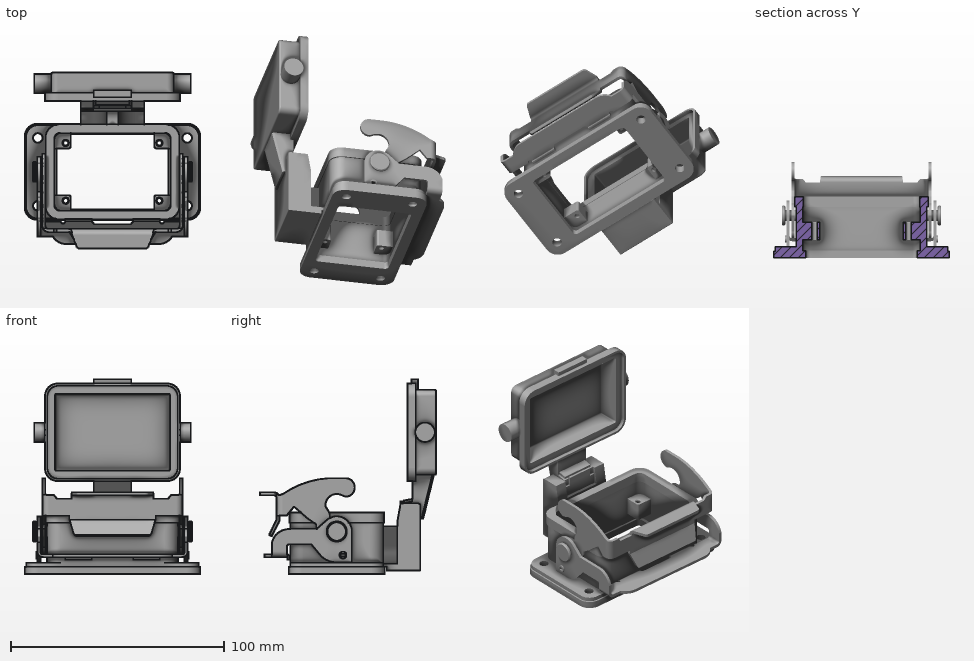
import cadquery as cq
import math


DIAGONAL = math.sqrt(0.5)
SPAN = 183.0

PIVOT_Y = 0.0
PIVOT_Z = 19.95
PIVOT_R = 2.65
PIVOT_TIP_R = 1.6

FLANGE_HALF_X = 41.3
FLANGE_HALF_Y = 22.6
FLANGE_R = 6.1
FLANGE_STEP = 0.7
FLANGE_STEP_Z = 3.4
FLANGE_TOP = 5.3
BODY_HALF_X = 30.7
BODY_HALF_Y = FLANGE_HALF_Y - FLANGE_STEP
RIM_HALF_X = 31.4
RIM_HALF_Y = 22.2
RIM_R = 6.1
RIM_BOTTOM = 24.1
RIM_TOP = 28.9
WELL_HALF_X = 27.3
WELL_HALF_Y = 18.2
WELL_R = 3.0
UNDERCUT = 0.3
WELL_FLOOR = 3.6
OPENING_HALF_X = 26.1
OPENING_HALF_Y = 17.6
OPENING_R = 1.8
POST_HALF_GAP_X = 19.6
POST_HALF_GAP_Y = 10.9
POST_BOTTOM = 8.5
POST_TOP = 16.9
POST_R = 1.1
SCREW_X = 22.0
SCREW_Y = 13.5
SCREW_R = 1.2
SCREW_SINK_R = 1.6
SCREW_SINK_ANGLE = 90
MOUNT_X = 35.0
MOUNT_Y = 15.9
MOUNT_R = 2.2

BRACKET_HALF_X = 14.9
BRACKET_BACK = 39.25
BRACKET_FRONT = 28.5
BRACKET_TOP = 33.1
BRACKET_TOP_FRONT = 29.9
BRACKET_BOTTOM = 1.6
BRACKET_R = 1.0
BRACKET_BOTTOM_R = 0.5
FOOT_TOP = 4.9
FOOT_STEP_Y = 23.4
SLOT_HALF_X = 9.15
SLOT_FLOOR = 24.8
RIB_TOP = 22.5
RIB_HALF_X = 2.7
RIB_FLARE_R = 7.9

COVER_Z = 66.5
COVER_FRONT = 33.2
COVER_STEP = 37.1
COVER_BACK = 46.7
COVER_RIM_HALF_X = 31.75
COVER_RIM_HALF_Z = 23.0
COVER_RIM_R = 6.1
COVER_HALF_X = 28.7
COVER_HALF_Z = 20.0
COVER_R = 3.0
COVER_BACK_FILLET = 0.8
LIP = 1.2
LIP_DEPTH = 1.7
CAVITY_HALF_X = 27.0
CAVITY_HALF_Z = 18.1
CAVITY_R = 0.8
CAVITY_DRAFT = 0.5
CAVITY_FLOOR = 44.7
CAVITY_FLOOR_FILLET = 0.7
PEG_R = 4.6
PEG_HALF_X = 36.8
PEG_Y = 41.45
ARM_HALF_X = 8.9
TAB_FRONT = 35.0
TAB_BACK = 38.25
TAB_TOP = 91.5
ARM_FRONT = 35.5
ARM_TAIL_Y = 40.6
ARM_TAIL_Z = 26.0
ARM_CHAMFER = 0.8
SHOULDER_BACK_Z = 34.1
SHOULDER_FRONT = 30.9
SHOULDER_FRONT_Z = 33.2
NOSE_HALF_X = 8.0
NOSE_FRONT = 31.6
NOSE_SLOPE = (SHOULDER_BACK_Z - SHOULDER_FRONT_Z) / (ARM_FRONT - SHOULDER_FRONT)
NOSE_HEIGHT = 1.2
PANEL_TOP = 34.0
PANEL_NOTCH_HALF_X = 6.2
PANEL_NOTCH_Z = 29.9

HOOK_SHEET = 1.5
HOOK_HALF_X = 32.9
HOOK_FRONT = -28.3
HOOK_BEND_R = 3.0
HOOK_BOTTOM = 27.45
HOOK_TOP = 37.15
NOTCH_Z = 35.4
NOTCH_HALF_X = 27.5
NOTCH_BOTTOM_HALF_X = 26.1
TONGUE_HALF_X = 19.4
TONGUE_TIP = -36.05
TONGUE_TOP = 38.4
TONGUE_BEND_Y = -29.65
APRON_HALF_X = 20.2
APRON_BEND_Z = 25.5
APRON_TIP_Z = 17.75
THROAT_Z = 32.3
THROAT_R = 5.2

HANDLE_SHEET = 1.5
HANDLE_HALF_X = 35.2
HANDLE_BEND_R = 2.65
HANDLE_BOTTOM = 7.9
HANDLE_BACK = -23.2
HANDLE_FRONT = -30.4
HANDLE_TIP = -33.95
GRIP_TIP_HALF_X = 22.0
GRIP_ROOT_HALF_X = 28.0
HANDLE_ARM_BOTTOM = 13.9
HANDLE_ARM_TOP = 21.1
HANDLE_CORNER = 0.6
HANDLE_NECK_Y = -4.9
HANDLE_EAR_R = 7.1
HANDLE_EAR_BOTTOM = 5.6
RELIEF_R = 1.0
RELIEF_X = 23.2
WINDOW_HALF_X = 9.7
WINDOW_DEPTH = 1.3
WINDOW_CHAMFER = 1.1
LUG_OUTER_X = 22.2
LUG_Y = -22.05
LUG_BOTTOM = 6.6
RIVET_HEAD_R = 4.8
RIVET_HEAD_INNER = 35.8
RIVET_HEAD_OUTER = 37.4
RIVET_CHAMFER = 0.5
STUD_Y = 2.9
STUD_Z = 8.9
STUD_R = 1.65
STUD_HEIGHT = 0.6
STUD_SLOT_Y = 2.0
STUD_SLOT_Z = 1.5


def box(x0, x1, y0, y1, z0, z1):
    """Block between two opposite corners."""
    return cq.Workplane("XY").box(x1 - x0, y1 - y0, z1 - z0, centered=False).translate((x0, y0, z0))


def rounded_block(half_x, half_y, radius, z0, z1):
    """Upright block with rounded corners, centred on the Z axis."""
    block = cq.Workplane("XY").box(2 * half_x, 2 * half_y, z1 - z0, centered=(True, True, False))
    return block.edges("|Z").fillet(radius).translate((0, 0, z0))


def across_x(profile, half_x):
    """Extrude a closed YZ profile equally to both sides of X = 0."""
    return profile.extrude(half_x, both=True)


def x_cylinder(radius, x0, x1, y, z):
    """Cylinder along X, from x0 to x1."""
    return cq.Workplane("YZ", origin=(x0, 0, 0)).center(y, z).circle(radius).extrude(x1 - x0)


def both_sides(shape):
    """The shape together with its mirror image across X = 0."""
    return shape.union(shape.mirror("YZ"))



def housing_shell():
    flange = rounded_block(FLANGE_HALF_X, FLANGE_HALF_Y, FLANGE_R, 0, FLANGE_STEP_Z)
    step = rounded_block(
        FLANGE_HALF_X - FLANGE_STEP, BODY_HALF_Y, FLANGE_R - FLANGE_STEP, FLANGE_STEP_Z, FLANGE_TOP
    )
    body = rounded_block(BODY_HALF_X, BODY_HALF_Y, RIM_R, FLANGE_TOP, RIM_BOTTOM)
    rim = rounded_block(RIM_HALF_X, RIM_HALF_Y, RIM_R, RIM_BOTTOM, RIM_TOP)
    return flange.union(step).union(body).union(rim)


def hinge_bracket():
    cheeks = across_x(
        cq.Workplane("YZ").polyline([
            (BRACKET_BACK, BRACKET_BOTTOM),
            (BRACKET_BACK, BRACKET_TOP),
            (BRACKET_TOP_FRONT, BRACKET_TOP),
            (BRACKET_FRONT, SLOT_FLOOR),
            (BRACKET_FRONT, FOOT_TOP),
            (BODY_HALF_Y, FOOT_TOP),
            (BODY_HALF_Y, FLANGE_STEP_Z),
            (FOOT_STEP_Y, FLANGE_STEP_Z),
            (FOOT_STEP_Y, BRACKET_BOTTOM),
        ]).close(),
        BRACKET_HALF_X,
    )
    cheeks = cheeks.edges("|X and >Y and >Z").fillet(BRACKET_R)
    cheeks = cheeks.edges("|X and >Y and <Z").fillet(BRACKET_BOTTOM_R)
    slot = box(-SLOT_HALF_X, SLOT_HALF_X, BRACKET_FRONT, BRACKET_BACK, SLOT_FLOOR, BRACKET_TOP)
    return cheeks.cut(slot)


def hinge_rib():
    """Rib that joins the bracket to the back wall, with a large round flare at its foot."""
    foot_half_x = RIB_HALF_X + RIB_FLARE_R
    flare_z = FOOT_TOP + RIB_FLARE_R
    mid_offset = RIB_FLARE_R * (1 - DIAGONAL)
    rib = (
        cq.Workplane("XZ", origin=(0, BRACKET_FRONT, 0))
        .moveTo(0, RIB_TOP)
        .lineTo(RIB_HALF_X, RIB_TOP)
        .lineTo(RIB_HALF_X, flare_z)
        .threePointArc((RIB_HALF_X + mid_offset, FOOT_TOP + mid_offset), (foot_half_x, FOOT_TOP))
        .lineTo(0, FOOT_TOP)
        .mirrorY()
    )
    return rib.extrude(BRACKET_FRONT - BODY_HALF_Y)


def well_space(z0, z1, outset):
    """Stretch of the well's inside shape, widened by an outset on every side."""
    return rounded_block(WELL_HALF_X + outset, WELL_HALF_Y + outset, WELL_R + outset, z0, z1)


def corner_posts():
    """Four screw posts in the corners of the well, above its floor."""
    well = well_space(POST_BOTTOM, POST_TOP, UNDERCUT)
    quarter = box(POST_HALF_GAP_X, RIM_HALF_X, POST_HALF_GAP_Y, RIM_HALF_Y, POST_BOTTOM, POST_TOP)
    post = quarter.edges("|Z and <X and <Y").fillet(POST_R).intersect(well)
    post = (
        post.faces(">Z").workplane(origin=(SCREW_X, SCREW_Y, POST_TOP))
        .cskHole(2 * SCREW_R, 2 * SCREW_SINK_R, SCREW_SINK_ANGLE)
    )
    pair = both_sides(post)
    return pair.union(pair.mirror("XZ"))


def make_housing():
    shell = housing_shell().union(hinge_bracket()).union(hinge_rib())
    mouth = well_space(RIM_BOTTOM, RIM_TOP, 0)
    well = well_space(WELL_FLOOR, RIM_BOTTOM, UNDERCUT)
    opening = rounded_block(OPENING_HALF_X, OPENING_HALF_Y, OPENING_R, 0, RIM_TOP)
    mount_holes = (
        cq.Workplane("XY").rect(2 * MOUNT_X, 2 * MOUNT_Y, forConstruction=True).vertices()
        .circle(MOUNT_R).extrude(FLANGE_TOP)
    )
    pivot_holes = x_cylinder(PIVOT_TIP_R, -RIM_HALF_X, RIM_HALF_X, PIVOT_Y, PIVOT_Z)
    shell = shell.cut(mouth).cut(well).cut(opening).cut(mount_holes).cut(pivot_holes)
    return shell.union(corner_posts())



def cover_plate(half_x, half_z, radius, y0, y1):
    """Block facing Y with rounded corners, centred on the cover."""
    block = cq.Workplane("XY").box(2 * half_x, y1 - y0, 2 * half_z, centered=(True, False, True))
    return block.edges("|Y").fillet(radius).translate((0, y0, COVER_Z))


def cover_cavity():
    front = COVER_FRONT + LIP_DEPTH
    depth = CAVITY_FLOOR - front
    draft_angle = math.degrees(math.atan(CAVITY_DRAFT / depth))
    sketch = cq.Sketch().rect(2 * CAVITY_HALF_X, 2 * CAVITY_HALF_Z).vertices().fillet(CAVITY_R)
    cavity = (
        cq.Workplane("XZ", origin=(0, front, COVER_Z))
        .placeSketch(sketch).extrude(-depth, taper=draft_angle)
    )
    return cavity.faces(">Y").edges().fillet(CAVITY_FLOOR_FILLET)


def arm_nose():
    """Sloped lip on the shoulder of the hinge arm."""
    root_z = SHOULDER_BACK_Z
    tip_z = root_z - NOSE_SLOPE * (ARM_FRONT - NOSE_FRONT)
    return across_x(
        cq.Workplane("YZ").polyline([
            (ARM_FRONT, root_z),
            (ARM_FRONT, root_z + NOSE_HEIGHT),
            (NOSE_FRONT, tip_z + NOSE_HEIGHT),
            (NOSE_FRONT, tip_z),
        ]).close(),
        NOSE_HALF_X,
    )


def hinge_arm():
    """Arm below the cover, with a shoulder, a nose and a latch panel that stand in the bracket slot."""
    arm_top = COVER_Z - COVER_HALF_Z + CAVITY_FLOOR_FILLET
    arm = across_x(
        cq.Workplane("YZ").polyline([
            (ARM_FRONT, arm_top),
            (COVER_BACK - COVER_BACK_FILLET, arm_top),
            (ARM_TAIL_Y, ARM_TAIL_Z),
            (BRACKET_BACK, ARM_TAIL_Z),
            (BRACKET_BACK, SLOT_FLOOR),
            (BRACKET_TOP_FRONT, SLOT_FLOOR),
            (BRACKET_TOP_FRONT, PANEL_TOP),
            (SHOULDER_FRONT, PANEL_TOP),
            (SHOULDER_FRONT, SHOULDER_FRONT_Z),
            (ARM_FRONT, SHOULDER_BACK_Z),
        ]).close(),
        ARM_HALF_X,
    )
    arm = arm.faces("<(0,-1,0.3)").edges("not |X").chamfer(ARM_CHAMFER)
    notch = box(
        PANEL_NOTCH_HALF_X, ARM_HALF_X, BRACKET_TOP_FRONT, SHOULDER_FRONT, PANEL_NOTCH_Z, PANEL_TOP
    )
    return arm.cut(both_sides(notch)).union(arm_nose())


def make_cover():
    rim = cover_plate(COVER_RIM_HALF_X, COVER_RIM_HALF_Z, COVER_RIM_R, COVER_FRONT, COVER_STEP)
    shell = cover_plate(COVER_HALF_X, COVER_HALF_Z, COVER_R, COVER_FRONT, COVER_BACK)
    shell = shell.faces(">Y").edges().fillet(COVER_BACK_FILLET)
    pegs = x_cylinder(PEG_R, -PEG_HALF_X, PEG_HALF_X, PEG_Y, COVER_Z)
    tab = box(-ARM_HALF_X, ARM_HALF_X, TAB_FRONT, TAB_BACK, COVER_Z + CAVITY_HALF_Z, TAB_TOP)
    lip_recess = cover_plate(
        COVER_RIM_HALF_X - LIP, COVER_RIM_HALF_Z - LIP, COVER_RIM_R - LIP,
        COVER_FRONT, COVER_FRONT + LIP_DEPTH,
    )
    solid = rim.union(shell).union(pegs).union(tab).union(hinge_arm())
    return solid.cut(lip_recess).cut(cover_cavity())



def hook_outline():
    """Outline of the hook arms and of the front web's height, as a YZ profile."""
    throat_left = (2.4, 37.0)
    throat_mid = (PIVOT_Y - THROAT_R * DIAGONAL, THROAT_Z + THROAT_R * DIAGONAL)
    throat_right = (-5.2, 31.75)
    return (
        cq.Workplane("YZ")
        .moveTo(HOOK_FRONT, HOOK_TOP)
        .lineTo(-26.4, HOOK_TOP)
        .lineTo(-25.0, 37.8)
        .threePointArc((-14.9, 42.8), (-4.0, 45.0))
        .lineTo(4.1, 45.0)
        .threePointArc((8.5, 40.6), (4.1, 36.2))
        .lineTo(*throat_left)
        .threePointArc(throat_mid, throat_right)
        .lineTo(-3.5, 28.9)
        .lineTo(-3.1, 26.35)
        .lineTo(-1.8, 25.4)
        .threePointArc((4.2, 24.0), (6.0, PIVOT_Z))
        .lineTo(3.2, 12.5)
        .threePointArc((0, 9.3), (-3.2, 12.5))
        .lineTo(-9.5, 21.2)
        .lineTo(-9.7, 23.3)
        .lineTo(-13.6, 26.1)
        .lineTo(-20.0, 31.6)
        .lineTo(-23.4, HOOK_BOTTOM)
        .lineTo(HOOK_FRONT, HOOK_BOTTOM)
        .close()
    )


def hook_sheet():
    """Arms and front web, folded from one sheet that is U-shaped from above."""
    outer = box(-HOOK_HALF_X, HOOK_HALF_X, HOOK_FRONT, -HOOK_FRONT, 0, SPAN)
    outer = outer.edges("|Z").fillet(HOOK_BEND_R)
    inner_half_x = HOOK_HALF_X - HOOK_SHEET
    inner_front = HOOK_FRONT + HOOK_SHEET
    inner = box(-inner_half_x, inner_half_x, inner_front, -inner_front, 0, SPAN)
    inner = inner.edges("|Z").fillet(HOOK_BEND_R - HOOK_SHEET)
    notch = (
        cq.Workplane("XZ", origin=(0, inner_front, 0))
        .moveTo(-NOTCH_HALF_X, HOOK_TOP)
        .lineTo(-NOTCH_BOTTOM_HALF_X, NOTCH_Z)
        .lineTo(NOTCH_BOTTOM_HALF_X, NOTCH_Z)
        .lineTo(NOTCH_HALF_X, HOOK_TOP)
        .close().extrude(HOOK_SHEET)
    )
    return outer.cut(inner).intersect(across_x(hook_outline(), SPAN)).cut(notch)


def hook_tongue():
    """Thumb tongue that bends forward from the top of the web."""
    inner_y = HOOK_FRONT + HOOK_SHEET
    outer_r = inner_y - TONGUE_BEND_Y
    inner_r = outer_r - HOOK_SHEET
    bend_z = TONGUE_TOP - outer_r
    profile = (
        cq.Workplane("YZ")
        .moveTo(inner_y, NOTCH_Z - HOOK_SHEET)
        .lineTo(inner_y, bend_z)
        .threePointArc(
            (TONGUE_BEND_Y + outer_r * DIAGONAL, bend_z + outer_r * DIAGONAL),
            (TONGUE_BEND_Y, TONGUE_TOP),
        )
        .lineTo(TONGUE_TIP, TONGUE_TOP)
        .lineTo(TONGUE_TIP, TONGUE_TOP - HOOK_SHEET)
        .lineTo(TONGUE_BEND_Y, TONGUE_TOP - HOOK_SHEET)
        .threePointArc(
            (TONGUE_BEND_Y + inner_r * DIAGONAL, bend_z + inner_r * DIAGONAL),
            (HOOK_FRONT, bend_z),
        )
        .lineTo(HOOK_FRONT, NOTCH_Z - HOOK_SHEET)
        .close()
    )
    plan = (
        cq.Workplane("XY")
        .moveTo(0, TONGUE_TIP)
        .lineTo(15.2, TONGUE_TIP)
        .threePointArc((16.5, -35.6), (17.1, -34.4))
        .lineTo(18.9, TONGUE_BEND_Y)
        .lineTo(TONGUE_HALF_X, inner_y)
        .lineTo(0, inner_y)
        .mirrorY().extrude(SPAN)
    )
    return across_x(profile, SPAN).intersect(plan)


def hook_apron():
    """Flap that slopes down and forward from the bottom of the web."""
    inner_y = HOOK_FRONT + HOOK_SHEET
    profile = cq.Workplane("YZ").polyline([
        (inner_y, HOOK_BOTTOM),
        (inner_y, 24.9),
        (-30.5, APRON_TIP_Z),
        (-31.75, 18.4),
        (HOOK_FRONT, APRON_BEND_Z),
        (HOOK_FRONT, HOOK_BOTTOM),
    ]).close()
    outline = (
        cq.Workplane("XZ")
        .moveTo(0, APRON_TIP_Z)
        .lineTo(16.9, APRON_TIP_Z)
        .threePointArc((17.9, 18.6), (18.5, 19.8))
        .lineTo(APRON_HALF_X, APRON_BEND_Z)
        .lineTo(APRON_HALF_X, HOOK_BOTTOM)
        .lineTo(0, HOOK_BOTTOM)
        .mirrorY().extrude(SPAN)
    )
    return across_x(profile, SPAN).intersect(outline)


def make_hook_lever():
    pivot_holes = x_cylinder(PIVOT_R, -HOOK_HALF_X, HOOK_HALF_X, PIVOT_Y, PIVOT_Z)
    return hook_sheet().union(hook_tongue()).union(hook_apron()).cut(pivot_holes)



def handle_side():
    """Side plate on +X, from the ear round the pivot to the front bend."""
    bend_top = HANDLE_BOTTOM + HANDLE_BEND_R
    neck_z = PIVOT_Z + math.sqrt(HANDLE_EAR_R**2 - (HANDLE_NECK_Y - PIVOT_Y) ** 2)
    outline = (
        cq.Workplane("YZ", origin=(HANDLE_HALF_X - HANDLE_SHEET, 0, 0))
        .moveTo(HANDLE_EAR_R, HANDLE_EAR_BOTTOM)
        .lineTo(HANDLE_EAR_R, PIVOT_Z)
        .threePointArc((PIVOT_Y, PIVOT_Z + HANDLE_EAR_R), (HANDLE_NECK_Y, neck_z))
        .lineTo(-9.4, HANDLE_ARM_TOP)
        .lineTo(-22.9, HANDLE_ARM_TOP)
        .threePointArc((-27.9, 19.0), (HANDLE_FRONT, 15.0))
        .lineTo(HANDLE_FRONT, bend_top)
        .lineTo(HANDLE_BACK, bend_top)
        .lineTo(HANDLE_BACK, HANDLE_ARM_BOTTOM - HANDLE_CORNER)
        .lineTo(HANDLE_BACK + HANDLE_CORNER, HANDLE_ARM_BOTTOM)
        .lineTo(-11.9, HANDLE_ARM_BOTTOM)
        .lineTo(-7.5, 8.6)
        .threePointArc((-4.8, 6.6), (-1.1, HANDLE_EAR_BOTTOM))
        .close()
    )
    return outline.extrude(HANDLE_SHEET)


def handle_shelf():
    """Bottom shelf with its two bends up into the side plates and its front grip."""
    bend_top = HANDLE_BOTTOM + HANDLE_BEND_R
    above = bend_top + HANDLE_BEND_R
    outer = box(-HANDLE_HALF_X, HANDLE_HALF_X, HANDLE_FRONT, HANDLE_BACK, HANDLE_BOTTOM, above)
    outer = outer.edges("|Y and <Z").fillet(HANDLE_BEND_R)
    inner_half_x = HANDLE_HALF_X - HANDLE_SHEET
    shelf_top = HANDLE_BOTTOM + HANDLE_SHEET
    inner = box(-inner_half_x, inner_half_x, HANDLE_FRONT, HANDLE_BACK, shelf_top, above)
    inner = inner.edges("|Y and <Z").fillet(HANDLE_BEND_R - HANDLE_SHEET)
    top_trim = box(-SPAN, SPAN, HANDLE_FRONT, HANDLE_BACK, bend_top, above)
    grip = (
        cq.Workplane("XY", origin=(0, 0, HANDLE_BOTTOM))
        .moveTo(0, HANDLE_TIP)
        .lineTo(GRIP_TIP_HALF_X, HANDLE_TIP)
        .threePointArc((25.8, -32.7), (GRIP_ROOT_HALF_X, HANDLE_FRONT))
        .lineTo(0, HANDLE_FRONT)
        .mirrorY().extrude(HANDLE_SHEET)
    )
    return outer.cut(inner).cut(top_trim).union(grip)


def shelf_cutouts():
    """Round reliefs and the middle window along the back edge of the shelf."""
    reliefs = (
        cq.Workplane("XY").pushPoints([(-RELIEF_X, HANDLE_BACK), (RELIEF_X, HANDLE_BACK)])
        .circle(RELIEF_R).extrude(SPAN)
    )
    window = cq.Workplane("XY").polyline([
        (-WINDOW_HALF_X, HANDLE_BACK),
        (-WINDOW_HALF_X + WINDOW_CHAMFER, HANDLE_BACK - WINDOW_DEPTH),
        (WINDOW_HALF_X - WINDOW_CHAMFER, HANDLE_BACK - WINDOW_DEPTH),
        (WINDOW_HALF_X, HANDLE_BACK),
    ]).close().extrude(SPAN)
    return reliefs.union(window)


def shelf_lug():
    """Lug on +X that slopes down and back from the shelf to the housing."""
    profile = cq.Workplane("YZ", origin=(WINDOW_HALF_X, 0, 0)).polyline([
        (HANDLE_BACK, HANDLE_BOTTOM + HANDLE_SHEET),
        (LUG_Y, HANDLE_BOTTOM + HANDLE_SHEET / 2),
        (LUG_Y, LUG_BOTTOM),
        (HANDLE_BACK, LUG_BOTTOM),
    ]).close()
    return profile.extrude(LUG_OUTER_X - WINDOW_HALF_X)


def rivet():
    """Pivot rivet on +X: head, stem and a thinner tip that ends flush with the well wall."""
    head = x_cylinder(RIVET_HEAD_R, RIVET_HEAD_INNER, RIVET_HEAD_OUTER, PIVOT_Y, PIVOT_Z)
    head = head.edges().chamfer(RIVET_CHAMFER)
    stem = x_cylinder(PIVOT_R, BODY_HALF_X, RIVET_HEAD_OUTER - RIVET_CHAMFER, PIVOT_Y, PIVOT_Z)
    tip = x_cylinder(PIVOT_TIP_R, WELL_HALF_X + UNDERCUT, BODY_HALF_X, PIVOT_Y, PIVOT_Z)
    return head.union(stem).union(tip)


def stud():
    """Small round stud on the outside of the +X ear."""
    return x_cylinder(STUD_R, HANDLE_HALF_X, HANDLE_HALF_X + STUD_HEIGHT, STUD_Y, STUD_Z)


def stud_slot():
    """Rectangular slot through the +X stud and the ear behind it."""
    slot_half_y = STUD_SLOT_Y / 2
    slot_half_z = STUD_SLOT_Z / 2
    return box(
        HANDLE_HALF_X - HANDLE_SHEET, HANDLE_HALF_X + STUD_HEIGHT,
        STUD_Y - slot_half_y, STUD_Y + slot_half_y,
        STUD_Z - slot_half_z, STUD_Z + slot_half_z,
    )


def make_handle():
    side = handle_side().union(stud()).cut(stud_slot()).union(rivet())
    shelf = handle_shelf().cut(shelf_cutouts())
    return shelf.union(both_sides(side)).union(both_sides(shelf_lug()))


housing = make_housing()
cover = make_cover()
hook_lever = make_hook_lever()
handle = make_handle()

result = cq.Compound.makeCompound([housing.val(), cover.val(), hook_lever.val(), handle.val()])